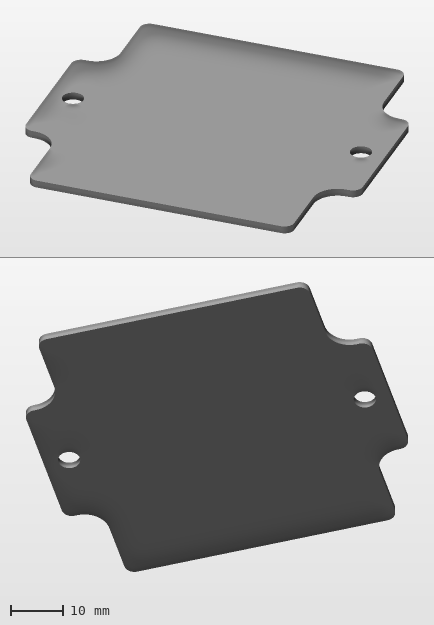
import cadquery as cq

overall_length = 69.0
body_length = 53.95
body_width = 64.0
tab_width = 29.0
thickness = 1.5
outer_corner_radius = 2.0
inner_corner_radius = 5.0
hole_diameter = 4.3
hole_spacing = 59.0


def rounded_plate(length, width):
    """Flat plate with rounded vertical edges, standing on Z = 0."""
    plate = cq.Workplane("XY").box(length, width, thickness, centered=(True, True, False))
    return plate.edges("|Z").fillet(outer_corner_radius)


body = rounded_plate(body_length, body_width)
tabs = rounded_plate(overall_length, tab_width)
plate = body.union(tabs)

for side_x in (-1, 1):
    for side_y in (-1, 1):
        corner = (side_x * body_length / 2, side_y * tab_width / 2, thickness / 2)
        plate = plate.edges(cq.selectors.NearestToPointSelector(corner)).fillet(inner_corner_radius)

holes = (
    cq.Workplane("XY")
    .pushPoints([(-hole_spacing / 2, 0), (hole_spacing / 2, 0)])
    .circle(hole_diameter / 2)
    .extrude(thickness)
)

result = plate.cut(holes)